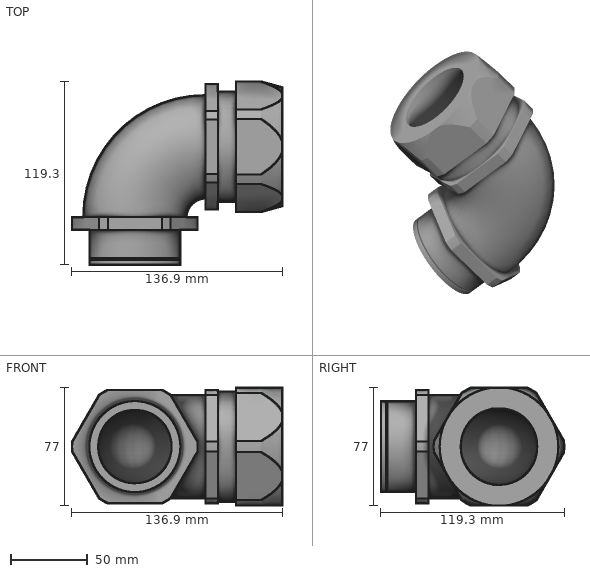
import cadquery as cq
import math

bend_radius = 45.9
elbow_diameter = 67.4
elbow_bore = 49.9

flange_flats = 74.0
flange_corners = 81.9
flange_thickness = 8.2

sleeve_diameter = 59.3
sleeve_length = 22.7
sleeve_bore = 47.8
groove_diameter = 57.7
groove_width = 1.1
groove_to_end = 3.2

collar_diameter = 72.0
collar_length = 11.6

nut_flats = 77.0
nut_corners = 85.1
nut_end_diameter = 77.3
nut_length = 30.3
nut_straight_length = 16.5

sleeve_end = flange_thickness + sleeve_length
collar_end = flange_thickness + collar_length
nut_end = collar_end + nut_length

inlet = cq.Plane(origin=(0, -bend_radius, 0), xDir=(1, 0, 0), normal=(0, -1, 0))
outlet = cq.Plane(origin=(bend_radius, 0, 0), xDir=(0, 1, 0), normal=(1, 0, 0))


def cylinder(port, diameter, start, end):
    return cq.Workplane(port).workplane(offset=start).circle(diameter / 2).extrude(end - start)


def cone(port, start_diameter, end_diameter, start, end):
    return (
        cq.Workplane(port)
        .workplane(offset=start)
        .circle(start_diameter / 2)
        .workplane(offset=end - start)
        .circle(end_diameter / 2)
        .loft(ruled=True)
    )


def rounded_hexagon(port, flats, corners, start, end):
    """Hexagonal prism whose corners are turned down to a diameter."""
    hexagon = cq.Workplane(port).workplane(offset=start).polygon(6, flats / math.cos(math.pi / 6))
    return hexagon.extrude(end - start).intersect(cylinder(port, corners, start, end))


def bend(diameter):
    """Quarter torus joining the two ports."""
    return (
        cq.Workplane(inlet)
        .circle(diameter / 2)
        .revolve(90, (bend_radius, 1.4, 0), (bend_radius, 0, 0))
    )


def flange(port):
    return rounded_hexagon(port, flange_flats, flange_corners, 0, flange_thickness)


def sleeve():
    """Inlet sleeve with a shallow groove that deepens towards its open end."""
    groove_end = sleeve_end - groove_to_end
    groove_start = groove_end - groove_width
    body = cylinder(inlet, sleeve_diameter, flange_thickness, sleeve_end)
    ring = cylinder(inlet, sleeve_diameter, groove_start, groove_end)
    core = cone(inlet, sleeve_diameter, groove_diameter, groove_start, groove_end)
    return body.cut(ring.cut(core))


def nut():
    """Hexagonal nut whose corners taper down almost to the flats at the open end."""
    prism = rounded_hexagon(outlet, nut_flats, nut_corners, collar_end, nut_end)
    straight = cylinder(outlet, nut_corners, collar_end, collar_end + nut_straight_length)
    taper = cone(outlet, nut_corners, nut_end_diameter, collar_end + nut_straight_length, nut_end)
    return prism.intersect(straight.union(taper))


result = (
    bend(elbow_diameter)
    .union(flange(inlet))
    .union(sleeve())
    .union(flange(outlet))
    .union(cylinder(outlet, collar_diameter, flange_thickness, collar_end))
    .union(nut())
    .cut(bend(elbow_bore))
    .cut(cylinder(inlet, sleeve_bore, 0, sleeve_end))
    .cut(cylinder(outlet, elbow_bore, 0, nut_end))
)